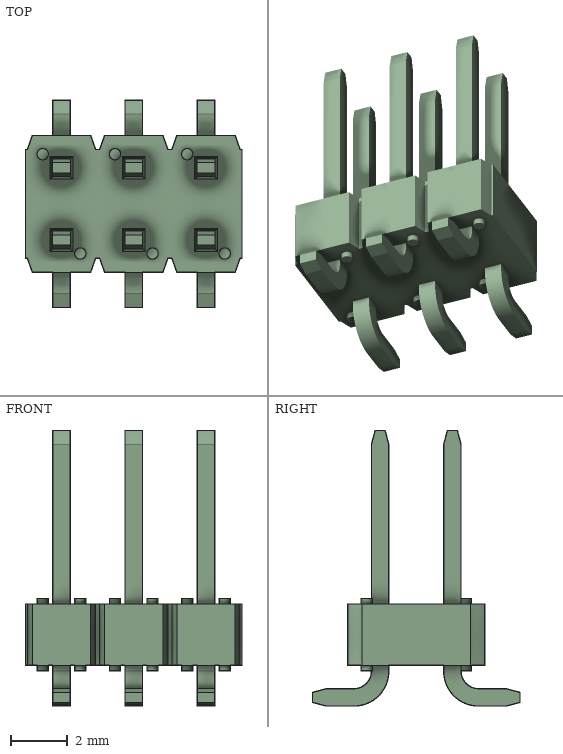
import cadquery as cq

pitch = 2.54
columns = 3
row_y = pitch / 2
sides = (-1, 1)
column_xs = [(i - (columns - 1) / 2) * pitch for i in range(columns)]

body_length = columns * pitch
body_depth = 4.82
body_bottom = 1.44
body_height = 2.16
body_top = body_bottom + body_height

notch_depth = 0.49
notch_mouth_width = 0.485
notch_floor_width = 0.14

pin_width = 0.62
pin_top = 9.7
bend_inner_radius = 0.61
foot_reach = 7.3 / 2
tip_thickness = 0.36
tip_length = 0.49

lead_in_gap = 0.09
lead_in_depth = 0.18

peg_diameter = 0.4
peg_height = 0.19
peg_offset_x = 0.66
peg_y = 1.75


def make_notch(x, side):
    """Full-height trapezoidal groove in the front (side -1) or back (side 1) face."""
    mouth_half = notch_mouth_width / 2
    floor_half = notch_floor_width / 2
    face_y = side * body_depth / 2
    floor_y = face_y - side * notch_depth
    outline = [
        (x - mouth_half, face_y),
        (x - floor_half, floor_y),
        (x + floor_half, floor_y),
        (x + mouth_half, face_y),
    ]
    return cq.Workplane("XY", origin=(0, 0, body_bottom)).polyline(outline).close().extrude(body_height)


def make_lead_in(x, y):
    """Square funnel that narrows from the housing top down to the pin."""
    mouth = pin_width + 2 * lead_in_gap
    return (
        cq.Workplane("XY", origin=(x, y, body_top))
        .rect(mouth, mouth)
        .workplane(offset=-lead_in_depth)
        .rect(pin_width, pin_width)
        .loft(ruled=True)
    )


def make_body():
    """Housing block with its notches and pin lead-ins."""
    body = cq.Workplane("XY", origin=(0, 0, body_bottom)).rect(body_length, body_depth).extrude(body_height)
    for side in sides:
        for i in range(columns + 1):
            body = body.cut(make_notch((i - columns / 2) * pitch, side))
        for x in column_xs:
            body = body.cut(make_lead_in(x, side * row_y))
    return body


def make_pin(x):
    """Pin of the +Y row: straight post, quarter bend and foot pointing to +Y."""
    inner_y = row_y - pin_width / 2
    outer_y = row_y + pin_width / 2
    taper = (pin_width - tip_thickness) / 2
    shoulder_z = pin_top - tip_length
    shoulder_y = foot_reach - tip_length
    bend_y = outer_y + bend_inner_radius
    bend_z = pin_width + bend_inner_radius
    bend_outer_radius = bend_inner_radius + pin_width
    return (
        cq.Workplane("YZ", origin=(x - pin_width / 2, 0, 0))
        .moveTo(inner_y, bend_z)
        .lineTo(inner_y, shoulder_z)
        .lineTo(inner_y + taper, pin_top)
        .lineTo(outer_y - taper, pin_top)
        .lineTo(outer_y, shoulder_z)
        .lineTo(outer_y, bend_z)
        .radiusArc((bend_y, pin_width), -bend_inner_radius)
        .lineTo(shoulder_y, pin_width)
        .lineTo(foot_reach, pin_width - taper)
        .lineTo(foot_reach, taper)
        .lineTo(shoulder_y, 0)
        .lineTo(bend_y, 0)
        .radiusArc((inner_y, bend_z), bend_outer_radius)
        .close()
        .extrude(pin_width)
    )


def make_peg(x, y):
    """Round peg through the housing, standing proud above and below."""
    return (
        cq.Workplane("XY", origin=(x, y, body_bottom - peg_height))
        .circle(peg_diameter / 2)
        .extrude(body_height + 2 * peg_height)
    )


result = make_body()
for column_x in column_xs:
    pin = make_pin(column_x)
    result = result.union(pin).union(pin.mirror("XZ"))
    for side in sides:
        result = result.union(make_peg(column_x - side * peg_offset_x, side * peg_y))